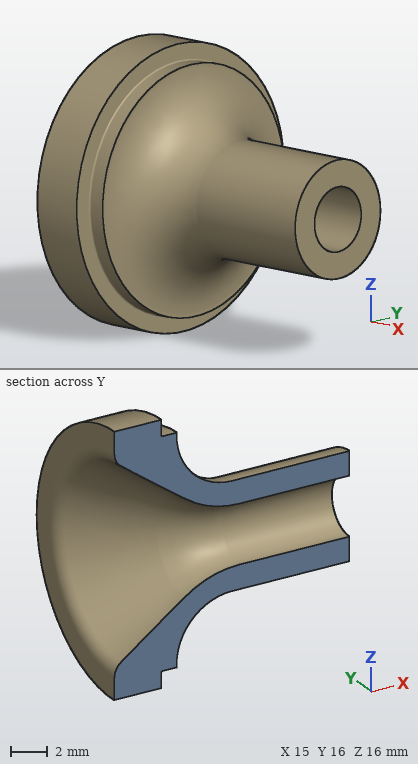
import cadquery as cq
import math

total_length = 15.0
flange_radius = 16 / 2
flange_thickness = 3.0
shoulder_radius = 14.0 / 2
shoulder_end = 4.0
tube_radius = 6.6 / 2
root_fillet = 0.1
neck_fillet = 3.5

bore_radius = 3.6 / 2
mouth_radius = 13.28 / 2
rim_round = 1.0
throat_round = 6.0
cone_half_angle = math.radians(35.5)


def arc_point(center, radius, angle):
    """Point (x, r) on a circle, with the angle measured from the +X direction."""
    return (center[0] + radius * math.cos(angle), center[1] + radius * math.sin(angle))


def make_body():
    """Flange, shoulder and tube, joined by concave fillets."""
    root_center = (flange_thickness + root_fillet, shoulder_radius + root_fillet)
    neck_center = (shoulder_end + neck_fillet, tube_radius + neck_fillet)
    fillet_middle = math.radians(225)
    profile = (
        cq.Workplane("XY")
        .lineTo(0, flange_radius)
        .lineTo(flange_thickness, flange_radius)
        .lineTo(flange_thickness, root_center[1])
        .threePointArc(arc_point(root_center, root_fillet, fillet_middle), (root_center[0], shoulder_radius))
        .lineTo(shoulder_end, shoulder_radius)
        .lineTo(shoulder_end, neck_center[1])
        .threePointArc(arc_point(neck_center, neck_fillet, fillet_middle), (neck_center[0], tube_radius))
        .lineTo(total_length, tube_radius)
        .lineTo(total_length, 0)
        .close()
    )
    return profile.revolve(360, (0, 0, 0), (1, 0, 0))


def make_flared_bore():
    """Through bore whose cone is tangent to both the rim and the throat rounds."""
    face_normal = -math.pi
    cone_normal = -math.pi / 2 - cone_half_angle
    rim_center = (rim_round, mouth_radius)
    rim_middle = arc_point(rim_center, rim_round, (face_normal + cone_normal) / 2)
    cone_start = arc_point(rim_center, rim_round, cone_normal)

    cone_end_radius = bore_radius + throat_round * (1 - math.cos(cone_half_angle))
    cone_length = (cone_start[1] - cone_end_radius) / math.tan(cone_half_angle)
    cone_end = (cone_start[0] + cone_length, cone_end_radius)

    throat_center = (
        cone_end[0] + throat_round * math.sin(cone_half_angle),
        bore_radius + throat_round,
    )
    throat_middle = arc_point(throat_center, throat_round, -math.pi / 2 - cone_half_angle / 2)
    profile = (
        cq.Workplane("XY")
        .lineTo(0, mouth_radius)
        .threePointArc(rim_middle, cone_start)
        .lineTo(*cone_end)
        .threePointArc(throat_middle, (throat_center[0], bore_radius))
        .lineTo(total_length, bore_radius)
        .lineTo(total_length, 0)
        .close()
    )
    return profile.revolve(360, (0, 0, 0), (1, 0, 0))


result = make_body().cut(make_flared_bore())